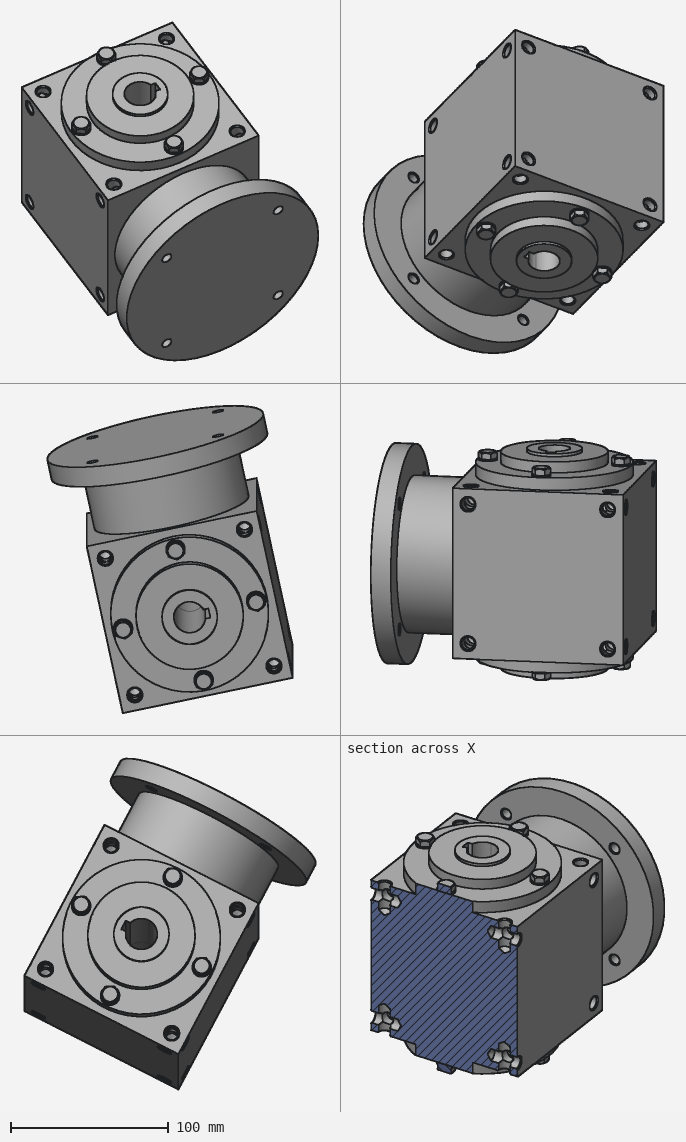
import cadquery as cq
import math

CUBE_SIDE = 110.0
HALF_CUBE = CUBE_SIDE / 2
OVERALL_LENGTH = 160.0
OVERALL_HEIGHT = 144.0

COVER_DIAMETER = 100.0
COVER_HEIGHT = 8.0
HUB_DIAMETER = 68.0
HUB_HEIGHT = 7.0

NECK_DIAMETER = 100.0
FLANGE_DIAMETER = 140.0
FLANGE_THICKNESS = 13.0
FLANGE_HOLE_DIAMETER = 6.7
FLANGE_HOLE_MOUTH = 8.0
FLANGE_BOLT_CIRCLE = 115.0
FLANGE_HOLE_COUNT = 4
FLANGE_FIRST_HOLE_ANGLE = 45.0

MOUNT_HOLE_DIAMETER = 8.3
MOUNT_HOLE_MOUTH = 10.0
MOUNT_HOLE_SPACING = 90.0
MOUNT_HOLE_DEPTH = 20.0
DRILL_POINT_ANGLE = 118.0

SHAFT_DIAMETER = 35.0
BORE_DIAMETER = 20.0
KEYWAY_WIDTH = 6.0
KEYWAY_TOP = 12.8

BOLT_CIRCLE_RADIUS = 43.0
BOLT_COUNT = 4
BOLT_COLLAR_DIAMETER = 12.0
BOLT_COLLAR_HEIGHT = 1.0
BOLT_HEX_CORNERS = 12.0
BOLT_HEAD_HEIGHT = 5.5
BOLT_CROWN_ANGLE = 45.0
BOLT_CROWN_DIAMETER = 9.8

FLANGE_FRONT = OVERALL_LENGTH - HALF_CUBE - FLANGE_THICKNESS
COVER_TOP = HALF_CUBE + COVER_HEIGHT
HUB_TOP = COVER_TOP + HUB_HEIGHT


def mount_hole_cutter():
    """Chamfered blind hole with a drill point, opening at Z = 0 and going down."""
    radius = MOUNT_HOLE_DIAMETER / 2
    mouth_radius = MOUNT_HOLE_MOUTH / 2
    point_height = radius / math.tan(math.radians(DRILL_POINT_ANGLE / 2))
    return (
        cq.Workplane("XZ")
        .moveTo(0, 0)
        .lineTo(mouth_radius, 0)
        .lineTo(radius, radius - mouth_radius)
        .lineTo(radius, -MOUNT_HOLE_DEPTH)
        .lineTo(0, -MOUNT_HOLE_DEPTH - point_height)
        .close()
        .revolve(360, (0, 0, 0), (0, 1, 0))
    )


def mount_hole_pattern():
    """Four corner hole cutters placed on the top face of the cube."""
    cutters = cq.Workplane("XY")
    half_spacing = MOUNT_HOLE_SPACING / 2
    for x in (-half_spacing, half_spacing):
        for y in (-half_spacing, half_spacing):
            cutters = cutters.add(mount_hole_cutter().translate((x, y, HALF_CUBE)))
    return cutters.combine()


def flange_hole_cutters():
    """Ring of through holes in the flange, chamfered at 45 degrees on the neck side."""
    centres = cq.Workplane("YZ", origin=(FLANGE_FRONT, 0, 0)).polarArray(
        FLANGE_BOLT_CIRCLE / 2, FLANGE_FIRST_HOLE_ANGLE, 360, FLANGE_HOLE_COUNT
    )
    chamfer_depth = (FLANGE_HOLE_MOUTH - FLANGE_HOLE_DIAMETER) / 2
    holes = centres.circle(FLANGE_HOLE_DIAMETER / 2).extrude(FLANGE_THICKNESS)
    chamfers = centres.circle(FLANGE_HOLE_MOUTH / 2).extrude(chamfer_depth, taper=45)
    return holes.union(chamfers)


def make_housing():
    """Cube with a stepped cover at each end, and the motor neck with its flange."""
    housing = cq.Workplane("XY").box(CUBE_SIDE, CUBE_SIDE, CUBE_SIDE)
    covers = cq.Workplane("XY").circle(COVER_DIAMETER / 2).extrude(COVER_TOP, both=True)
    hubs = cq.Workplane("XY").circle(HUB_DIAMETER / 2).extrude(HUB_TOP, both=True)
    neck = cq.Workplane("YZ").circle(NECK_DIAMETER / 2).extrude(FLANGE_FRONT)
    flange = (
        cq.Workplane("YZ", origin=(FLANGE_FRONT, 0, 0))
        .circle(FLANGE_DIAMETER / 2)
        .extrude(FLANGE_THICKNESS)
    )
    shaft_tunnel = (
        cq.Workplane("XY").circle(SHAFT_DIAMETER / 2).extrude(OVERALL_HEIGHT / 2, both=True)
    )
    housing = housing.union(covers).union(hubs).union(neck).union(flange)
    housing = housing.cut(flange_hole_cutters()).cut(shaft_tunnel)

    top_holes = mount_hole_pattern()
    for angle in (0, 90, 180, 270):
        housing = housing.cut(top_holes.rotate((0, 0, 0), (1, 0, 0), angle))
    return housing.cut(top_holes.rotate((0, 0, 0), (0, 1, 0), -90))


def make_shaft():
    """Hollow shaft running through the housing, with a keyway on the +Y side of its bore."""
    shaft_end = OVERALL_HEIGHT / 2
    shaft = cq.Workplane("XY").circle(SHAFT_DIAMETER / 2).extrude(shaft_end, both=True)
    bore = cq.Workplane("XY").circle(BORE_DIAMETER / 2).extrude(shaft_end, both=True)
    keyway = cq.Workplane("XY").center(0, KEYWAY_TOP / 2).rect(KEYWAY_WIDTH, KEYWAY_TOP)
    return shaft.cut(bore).cut(keyway.extrude(shaft_end, both=True))


def make_bolt():
    """Hexagon bolt head on a round collar, standing on Z = 0, corners along X."""
    hex_head = (
        cq.Workplane("XY", origin=(0, 0, BOLT_COLLAR_HEIGHT))
        .polygon(6, BOLT_HEX_CORNERS)
        .extrude(BOLT_HEAD_HEIGHT - BOLT_COLLAR_HEIGHT)
    )
    corner_radius = BOLT_HEX_CORNERS / 2
    crown_radius = BOLT_CROWN_DIAMETER / 2
    crown_drop = (corner_radius - crown_radius) * math.tan(math.radians(BOLT_CROWN_ANGLE))
    crown = (
        cq.Workplane("XZ")
        .moveTo(0, 0)
        .lineTo(corner_radius, 0)
        .lineTo(corner_radius, BOLT_HEAD_HEIGHT - crown_drop)
        .lineTo(crown_radius, BOLT_HEAD_HEIGHT)
        .lineTo(0, BOLT_HEAD_HEIGHT)
        .close()
        .revolve(360, (0, 0, 0), (0, 1, 0))
    )
    collar = cq.Workplane("XY").circle(BOLT_COLLAR_DIAMETER / 2).extrude(BOLT_COLLAR_HEIGHT)
    return hex_head.intersect(crown).union(collar)


def make_bolts():
    """Ring of bolts on the top cover and its mirror image on the bottom cover."""
    bolts = []
    for index in range(BOLT_COUNT):
        angle = index * 2 * math.pi / BOLT_COUNT
        x = BOLT_CIRCLE_RADIUS * math.cos(angle)
        y = BOLT_CIRCLE_RADIUS * math.sin(angle)
        top_bolt = make_bolt().translate((x, y, COVER_TOP))
        bolts.append(top_bolt.val())
        bolts.append(top_bolt.mirror("XY").val())
    return bolts


housing = make_housing()
shaft = make_shaft()
result = cq.Compound.makeCompound([housing.val(), shaft.val(), *make_bolts()])